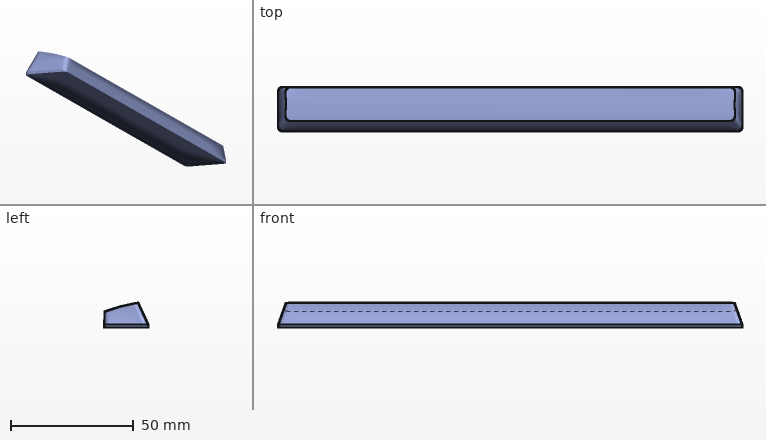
import cadquery as cq
import math

LENGTH = 189.61
DEPTH = 18.16
FRONT_HEIGHT = 10.17

RIM_HEIGHT = 0.6
BAND_HEIGHT = 0.6
BAND_INSET = 0.05
BACK_HEIGHT = 6.5
END_INSET = 3.2
BACK_INSET = 0.2
FRONT_INSET = 4.2
CROWN_RISE = 0.4
CORNER_RADIUS = 2.0

WALL_FOOT_Z = RIM_HEIGHT + BAND_HEIGHT

FRONT_TOP_Y = -DEPTH / 2 + FRONT_INSET
BACK_TOP_Y = DEPTH / 2 - BACK_INSET
TOP_RUN = BACK_TOP_Y - FRONT_TOP_Y
TOP_DROP = FRONT_HEIGHT - BACK_HEIGHT
TOP_WIDTH = math.hypot(TOP_RUN, TOP_DROP)
TOP_NORMAL = (0, TOP_DROP / TOP_WIDTH, TOP_RUN / TOP_WIDTH)
TOP_MIDDLE_Y = (FRONT_TOP_Y + BACK_TOP_Y) / 2
TOP_MIDDLE_Z = (FRONT_HEIGHT + BACK_HEIGHT) / 2
CROWN_PEAK = (TOP_MIDDLE_Y + CROWN_RISE * TOP_NORMAL[1], TOP_MIDDLE_Z + CROWN_RISE * TOP_NORMAL[2])

TOP_SLOPE = TOP_DROP / TOP_RUN
FRONT_LEAN = (FRONT_INSET - BAND_INSET) / (FRONT_HEIGHT - WALL_FOOT_Z)
BACK_LEAN = (BACK_INSET - BAND_INSET) / (BACK_HEIGHT - WALL_FOOT_Z)
PLANE_LIFT = CROWN_RISE / TOP_NORMAL[2]
PLANE_FRONT_Y = FRONT_TOP_Y + PLANE_LIFT * FRONT_LEAN / (1 + TOP_SLOPE * FRONT_LEAN)
PLANE_BACK_Y = BACK_TOP_Y - PLANE_LIFT * BACK_LEAN / (1 - TOP_SLOPE * BACK_LEAN)
PLANE_MIDDLE_Y = (PLANE_FRONT_Y + PLANE_BACK_Y) / 2
PLANE_MIDDLE_Z = TOP_MIDDLE_Z + PLANE_LIFT - TOP_SLOPE * (PLANE_MIDDLE_Y - TOP_MIDDLE_Y)
PLANE_WIDTH = (PLANE_BACK_Y - PLANE_FRONT_Y) / TOP_NORMAL[2]


def rounded_outline(plane, length, width):
    """Rectangle with rounded corners, centred on the plane."""
    return cq.Sketch().rect(length, width).vertices().fillet(CORNER_RADIUS).moved(cq.Location(plane))


def level_outline(height, inset):
    """Level outline of the cap at a height, drawn in on every side by the inset."""
    return rounded_outline(cq.Plane(origin=(0, 0, height)), LENGTH - 2 * inset, DEPTH - 2 * inset)


def join_outlines(lower, upper):
    return cq.Workplane("XY").placeSketch(lower, upper).loft(ruled=True)


def make_foot():
    """Upright rim with the narrow band above it."""
    rim_top = level_outline(RIM_HEIGHT, 0)
    rim = join_outlines(level_outline(0, 0), rim_top)
    band = join_outlines(rim_top, level_outline(WALL_FOOT_Z, BAND_INSET))
    return rim.union(band)


def make_body():
    """Leaning walls from the band up to the tilted plane that clears the crown."""
    upper_plane = cq.Plane(origin=(0, PLANE_MIDDLE_Y, PLANE_MIDDLE_Z), xDir=(1, 0, 0), normal=TOP_NORMAL)
    upper = rounded_outline(upper_plane, LENGTH - 2 * END_INSET, PLANE_WIDTH)
    return join_outlines(level_outline(WALL_FOOT_Z, BAND_INSET), upper)


def make_crown_envelope():
    """Long bar whose upper side is the gently bulged, tilted top."""
    return (
        cq.Workplane("YZ", origin=(-LENGTH / 2, 0, 0))
        .moveTo(-DEPTH / 2, 0)
        .lineTo(-DEPTH / 2, FRONT_HEIGHT)
        .lineTo(FRONT_TOP_Y, FRONT_HEIGHT)
        .threePointArc(CROWN_PEAK, (BACK_TOP_Y, BACK_HEIGHT))
        .lineTo(DEPTH / 2, BACK_HEIGHT)
        .lineTo(DEPTH / 2, 0)
        .close()
        .extrude(LENGTH)
    )


result = make_foot().union(make_body()).intersect(make_crown_envelope())